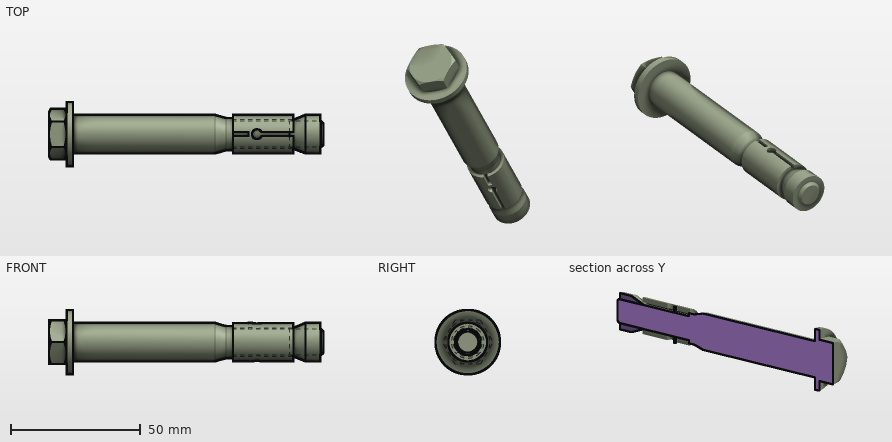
import cadquery as cq
import math


HEAD_WIDTH_ACROSS_FLATS = 17.0
HEAD_HEIGHT = 6.8
HEAD_CHAMFER_ANGLE = 30.0

FLANGE_DIAMETER = 25.0
FLANGE_THICKNESS = 2.5

SHANK_DIAMETER = 15.0
COLLAR_DIAMETER = 12.5
STEM_DIAMETER = 10.0
TIP_DIAMETER = 8.2

SHANK_END = 64.0
COLLAR_START = 68.4
SLEEVE_START = 71.0
SLEEVE_LENGTH = 23.3
SLEEVE_END = SLEEVE_START + SLEEVE_LENGTH
CONE_START = 92.9
CONE_END = 99.1
CONE_HEAD_END = 104.8
TIP_CHAMFER_START = 105.1
TOTAL_LENGTH = 106.0

SLOT_WIDTH = 1.6
SHORT_SLOT_LENGTH = 6.1
RELIEF_HOLE_DIAMETER = 3.8
RELIEF_HOLE_OFFSET = 9.3

FLANGE_END = HEAD_HEIGHT + FLANGE_THICKNESS
FLANGE_RADIUS = FLANGE_DIAMETER / 2
SHANK_RADIUS = SHANK_DIAMETER / 2
COLLAR_RADIUS = COLLAR_DIAMETER / 2
STEM_RADIUS = STEM_DIAMETER / 2
TIP_RADIUS = TIP_DIAMETER / 2
CONE_SLOPE = (SHANK_RADIUS - STEM_RADIUS) / (CONE_END - CONE_START)
SLEEVE_BORE_RADIUS = STEM_RADIUS + CONE_SLOPE * (SLEEVE_END - CONE_START)


def revolve_about_x(points):
    """Solid of revolution about X from (x, radius) points."""
    return cq.Workplane("XY").polyline(points).close().revolve(360, (0, 0, 0), (1, 0, 0))


def make_hex_head():
    """Hex prism with two flats facing up and down and its corners chamfered at both ends."""
    flat_radius = HEAD_WIDTH_ACROSS_FLATS / 2
    corner_radius = flat_radius / math.cos(math.radians(30))
    chamfer_length = (corner_radius - flat_radius) * math.tan(math.radians(HEAD_CHAMFER_ANGLE))
    prism = cq.Workplane("YZ").polygon(6, 2 * corner_radius).extrude(HEAD_HEIGHT)
    chamfer_envelope = revolve_about_x([
        (0, 0),
        (0, flat_radius),
        (chamfer_length, corner_radius),
        (HEAD_HEIGHT - chamfer_length, corner_radius),
        (HEAD_HEIGHT, flat_radius),
        (HEAD_HEIGHT, 0),
    ])
    return prism.intersect(chamfer_envelope)


def make_bolt():
    """Hex head, flange, thick shank tapering to a collar, thin stem and chamfered tip."""
    body = revolve_about_x([
        (HEAD_HEIGHT, 0),
        (HEAD_HEIGHT, FLANGE_RADIUS),
        (FLANGE_END, FLANGE_RADIUS),
        (FLANGE_END, SHANK_RADIUS),
        (SHANK_END, SHANK_RADIUS),
        (COLLAR_START, COLLAR_RADIUS),
        (SLEEVE_START, COLLAR_RADIUS),
        (SLEEVE_START, STEM_RADIUS),
        (TIP_CHAMFER_START, STEM_RADIUS),
        (TOTAL_LENGTH, TIP_RADIUS),
        (TOTAL_LENGTH, 0),
    ])
    return make_hex_head().union(body)


def make_slot(start, end):
    """Cutter for a slot through the top and bottom walls of the sleeve."""
    return (
        cq.Workplane("XY")
        .box(end - start, SLOT_WIDTH, 2 * SHANK_DIAMETER)
        .translate(((start + end) / 2, 0, 0))
    )


def make_sleeve():
    """Tube around the stem, resting on the cone, slotted at top and bottom."""
    tube = revolve_about_x([
        (SLEEVE_START, SLEEVE_BORE_RADIUS),
        (SLEEVE_START, SHANK_RADIUS),
        (SLEEVE_END, SHANK_RADIUS),
        (SLEEVE_END, SLEEVE_BORE_RADIUS),
    ])
    relief_hole_x = SLEEVE_START + RELIEF_HOLE_OFFSET
    short_slot = make_slot(SLEEVE_START, SLEEVE_START + SHORT_SLOT_LENGTH)
    long_slot = make_slot(relief_hole_x, SLEEVE_END)
    relief_hole = (
        cq.Workplane("XY")
        .center(relief_hole_x, 0)
        .circle(RELIEF_HOLE_DIAMETER / 2)
        .extrude(SHANK_DIAMETER, both=True)
    )
    return tube.cut(short_slot).cut(long_slot).cut(relief_hole)


def make_cone():
    """Conical nut around the end of the stem that spreads the sleeve."""
    return revolve_about_x([
        (CONE_START, STEM_RADIUS),
        (CONE_END, SHANK_RADIUS),
        (CONE_HEAD_END, SHANK_RADIUS),
        (CONE_HEAD_END, STEM_RADIUS),
    ])


bolt = make_bolt()
sleeve = make_sleeve()
cone = make_cone()

result = cq.Compound.makeCompound([bolt.val(), sleeve.val(), cone.val()])